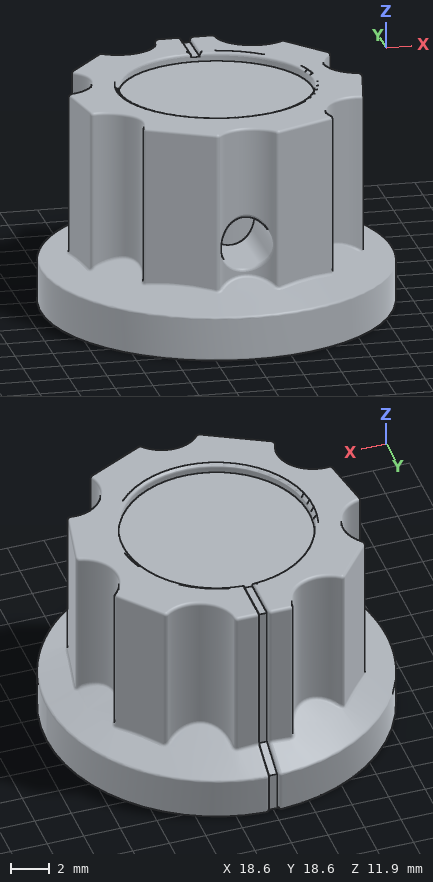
import cadquery as cq
import math

skirt_radius = 9.3
skirt_wall_height = 2.4
shoulder_angle = 30.0
bottom_round = 0.15

total_height = 11.94
flat_distance = 7.68
flute_radius = 1.95
flute_centre_radius = 8.43
screw_flute_angle = -90.0
screw_flute_radius = 1.92
screw_flute_centre_radius = 8.82
first_flute_angle = -38.0
even_flute_start = 15.0
even_flute_pitch = 50.0
even_flute_count = 5
edge_round = 0.2

recess_radius = 5.08
recess_depth = 0.5

groove_width = 0.45
groove_depth = 0.25

screw_hole_radius = 1.375
screw_hole_height = 5.6
screw_hole_round = 0.2
core_radius = 3.2

corner_radius = flat_distance / math.cos(math.radians(even_flute_pitch / 2))
shoulder_cosine = math.cos(math.radians(shoulder_angle))
shoulder_slope = math.tan(math.radians(shoulder_angle))
flute_angles = [screw_flute_angle, first_flute_angle]
flute_angles += [even_flute_start + index * even_flute_pitch for index in range(even_flute_count)]
tolerance = 0.01


def polar_point(radius, angle):
    """Point in the XY plane at a distance and an angle in degrees."""
    return (radius * math.cos(math.radians(angle)), radius * math.sin(math.radians(angle)))


def shoulder_height(radius):
    """Height of the sloping shoulder at a distance from the axis."""
    return skirt_wall_height + (skirt_radius - radius) * shoulder_slope


def edges_between(body, radius, low, high):
    """Edges lying wholly within a square about the axis and between two heights."""
    box = cq.selectors.BoxSelector(
        (-radius - tolerance, -radius - tolerance, low - tolerance),
        (radius + tolerance, radius + tolerance, high + tolerance),
        boundingbox=True,
    )
    return body.edges(box)


def make_skirt():
    """Revolved base: straight wall, rounded rims and a conical shoulder up to the axis."""
    profile = (
        cq.Workplane("XZ")
        .lineTo(skirt_radius, 0)
        .lineTo(skirt_radius, skirt_wall_height)
        .lineTo(0, shoulder_height(0))
        .close()
    )
    skirt = profile.revolve(360, (0, 0), (0, 1))
    skirt = skirt.faces("<Z").edges().fillet(bottom_round)
    return edges_between(skirt, skirt_radius, skirt_wall_height, skirt_wall_height).fillet(edge_round)


def make_flute(angle):
    radius = flute_radius
    centre_radius = flute_centre_radius
    if angle == screw_flute_angle:
        radius = screw_flute_radius
        centre_radius = screw_flute_centre_radius
    centre = polar_point(centre_radius, angle)
    return cq.Workplane("XY").center(*centre).circle(radius).extrude(total_height)


def make_grip():
    """Seven-sided prism with a flute on each corner and its upright edges rounded."""
    corners = [polar_point(corner_radius, angle) for angle in flute_angles]
    grip = cq.Workplane("XY").polyline(corners).close().extrude(total_height)
    for angle in flute_angles:
        grip = grip.cut(make_flute(angle))
    return grip.edges("|Z").fillet(edge_round)


def join_and_round(skirt, grip):
    """Unite skirt and grip, then round the grip's top rim and the joint between them."""
    body = skirt.union(grip)
    body = body.faces(">Z").edges().fillet(edge_round)
    reach = flat_distance + edge_round
    lowest = shoulder_height(reach)
    highest = shoulder_height(flute_centre_radius - flute_radius)
    return edges_between(body, reach, lowest, highest).fillet(edge_round)


def cut_recess(body):
    recess = (
        cq.Workplane("XY", origin=(0, 0, total_height - recess_depth))
        .circle(recess_radius)
        .extrude(recess_depth)
    )
    return body.cut(recess)


def cut_groove(body):
    """Pointer groove at a constant depth below the top, the flat and the skirt."""
    wall_floor = flat_distance - groove_depth
    rim_floor = skirt_radius - groove_depth
    shoulder_drop = groove_depth / shoulder_cosine
    top_floor = total_height - groove_depth
    groove = (
        cq.Workplane("YZ")
        .moveTo(rim_floor, 0)
        .lineTo(rim_floor, shoulder_height(rim_floor) - shoulder_drop)
        .lineTo(wall_floor, shoulder_height(wall_floor) - shoulder_drop)
        .lineTo(wall_floor, top_floor)
        .lineTo(0, top_floor)
        .lineTo(0, total_height)
        .lineTo(skirt_radius, total_height)
        .lineTo(skirt_radius, 0)
        .close()
        .extrude(groove_width / 2, both=True)
    )
    return body.cut(groove)


def is_groove_lip(edge):
    """True for an edge where a groove side meets the outside of the knob."""
    box = edge.BoundingBox()
    on_side = abs(abs(box.center.x) - groove_width / 2) < tolerance and box.xlen < 2 * tolerance
    if not on_side or box.center.y < recess_radius + tolerance:
        return False
    on_top = box.zmax > total_height - tolerance
    on_flat = box.zmin > shoulder_height(skirt_radius) and box.ymax > flat_distance - tolerance
    on_skirt = box.ymax > skirt_radius - groove_depth + tolerance and box.zmax > tolerance
    return on_top or on_flat or on_skirt


def round_groove_and_recess(body):
    rim = edges_between(body, recess_radius, total_height, total_height).vals()
    lips = [edge for edge in body.edges().vals() if is_groove_lip(edge)]
    return body.newObject(rim + lips).fillet(edge_round)


def cut_screw_hole(body):
    """Set-screw hole with a rounded mouth, open on its flute and stopping at the core."""
    hole = (
        cq.Workplane("XZ")
        .center(0, screw_hole_height)
        .circle(screw_hole_radius)
        .extrude(skirt_radius)
    )
    core = cq.Workplane("XY").circle(core_radius).extrude(total_height)
    body = body.cut(hole.cut(core))
    mouth = cq.selectors.BoxSelector(
        (-flute_radius, -skirt_radius, screw_hole_height - screw_hole_radius - tolerance),
        (flute_radius, -core_radius - tolerance, screw_hole_height + screw_hole_radius + tolerance),
        boundingbox=True,
    )
    return body.edges(mouth).fillet(screw_hole_round)


body = join_and_round(make_skirt(), make_grip())
body = cut_groove(cut_recess(body))
body = round_groove_and_recess(body)
result = cut_screw_hole(body)